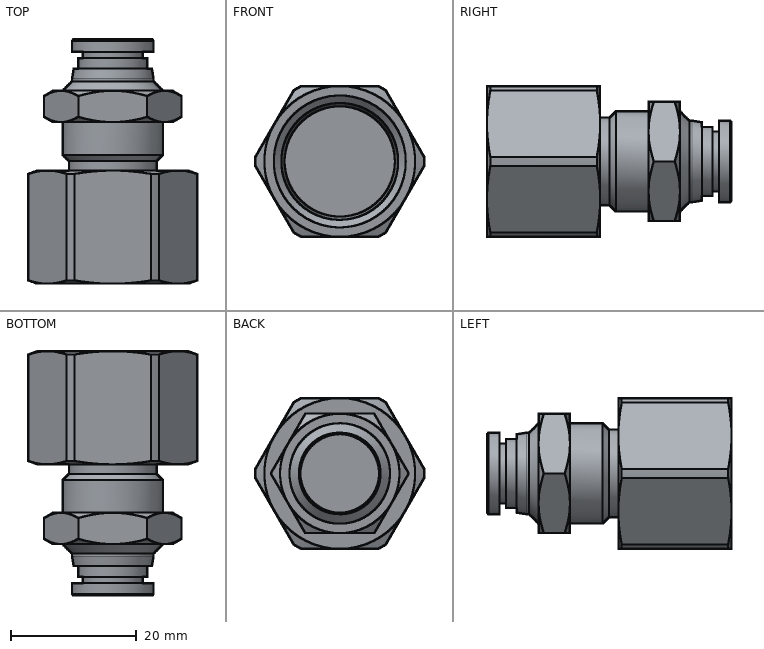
import cadquery as cq
import math


flats_to_points = math.cos(math.radians(30))

socket_length = 18.0
socket_flats = 24.0
socket_corner_diameter = 26.94
socket_chamfer_angle = 20.0

mouth_radius = 10.5
bore_start_radius = 9.3
bore_end_radius = 8.77
mouth_chamfer = mouth_radius - bore_start_radius
bore_depth = 16.5

nut_flats = 19.0
nut_thickness = 5.0
nut_chamfer_angle = 30.0

undercut_radius = 7.0
undercut_length = 1.5
body_radius = 8.0
body_chamfer = body_radius - undercut_radius
nut_gap = 7.7
shoulder_radius = 6.5
shoulder_length = 0.45
shoulder_chamfer = body_radius - shoulder_radius
sleeve_taper_length = 1.55
sleeve_end_radius = 6.25
guide_radius = 5.5
guide_length = 1.7
neck_radius = 4.8
neck_length = 1.0
collar_radius = 6.5
collar_length = 2.0
collar_chamfer = 0.25

nut_start = socket_length + nut_gap
nut_end = nut_start + nut_thickness


def revolve_profile(points):
    """Solid of revolution about Y from closed (radius, Y) points."""
    return cq.Workplane("XY").polyline(points).close().revolve(360, (0, 0, 0), (0, 1, 0))


def chamfered_hexagon(flats, corner_radius, start, length, chamfer_angle):
    """Hexagonal prism along Y with corners on X and both ends turned to a cone."""
    point_diameter = flats / flats_to_points
    end_radius = flats / 2
    end = start + length
    chamfer = (corner_radius - end_radius) * math.tan(math.radians(chamfer_angle))
    prism = (
        cq.Workplane("XZ", origin=(0, start, 0))
        .polygon(6, point_diameter)
        .extrude(-length)
    )
    envelope = revolve_profile([
        (0, start),
        (end_radius, start),
        (corner_radius, start + chamfer),
        (corner_radius, end - chamfer),
        (end_radius, end),
        (0, end),
    ])
    return prism.intersect(envelope)


def turned_body():
    """Stepped round body from the socket hexagon to the release collar."""
    undercut_end = socket_length + undercut_length
    shoulder_start = nut_end + shoulder_chamfer
    shoulder_end = shoulder_start + shoulder_length
    sleeve_end = shoulder_end + sleeve_taper_length
    guide_end = sleeve_end + guide_length
    collar_start = guide_end + neck_length
    collar_end = collar_start + collar_length
    return revolve_profile([
        (0, socket_length),
        (undercut_radius, socket_length),
        (undercut_radius, undercut_end),
        (body_radius, undercut_end + body_chamfer),
        (body_radius, nut_end),
        (shoulder_radius, shoulder_start),
        (shoulder_radius, shoulder_end),
        (sleeve_end_radius, sleeve_end),
        (guide_radius, sleeve_end),
        (guide_radius, guide_end),
        (neck_radius, guide_end),
        (neck_radius, collar_start),
        (collar_radius, collar_start),
        (collar_radius, collar_end - collar_chamfer),
        (collar_radius - collar_chamfer, collar_end),
        (0, collar_end),
    ])


def tapered_bore():
    """Blind conical bore with a chamfered mouth."""
    return revolve_profile([
        (0, 0),
        (mouth_radius, 0),
        (bore_start_radius, mouth_chamfer),
        (bore_end_radius, bore_depth),
        (0, bore_depth),
    ])


socket = chamfered_hexagon(
    socket_flats, socket_corner_diameter / 2, 0, socket_length, socket_chamfer_angle
)
nut_corner_radius = nut_flats / flats_to_points / 2
lock_nut = chamfered_hexagon(
    nut_flats, nut_corner_radius, nut_start, nut_thickness, nut_chamfer_angle
)

result = socket.union(turned_body()).union(lock_nut).cut(tapered_bore())